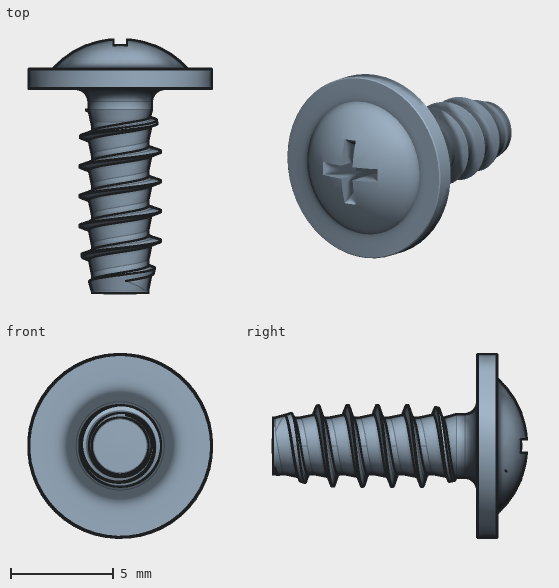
import cadquery as cq
import math


flange_radius = 4.5
flange_thickness = 1.0
flange_edge_chamfer = 0.05
body_overlap_height = flange_thickness / 2
dome_base_radius = 3.3
dome_height = 1.46
dome_sphere_radius = (dome_base_radius**2 + dome_height**2) / (2 * dome_height)
apex = flange_thickness + dome_height
dome_center = apex - dome_sphere_radius

recess_wing_width = 0.65
recess_mouth_radius = 1.6
recess_floor_radius = 0.75
recess_depth = 2.0

shank_length = 10.0
neck_radius = 1.56
neck_length = 1.0
neck_fillet = 0.6
core_radius = 1.39
core_start = 1.6
tip_cone_height = 0.025
tip_cone_radius = 1.31
tip_face = tip_cone_height - shank_length

pitch = 1.455
thread_radius = 2.0
crest_width = 0.04
head_flank_run = 0.25
head_flank_bend = 0.15
head_flank_bend_radius = 1.58
tip_flank_run = 0.19
shoulder_radius = 1.53
shoulder_run = 0.88
root_depth = 0.04
first_crest = 0.145
turns = 7
thread_start_radius = 1.68
full_thread_start = 2.5
full_thread_end = 7.75
thread_end_sink = 0.03


def revolve_about_y(profile):
    return profile.close().revolve(360, (0, 0, 0), (0, 1, 0))


def make_flange():
    flange = cq.Workplane("XZ").circle(flange_radius).extrude(-flange_thickness)
    return flange.edges().chamfer(flange_edge_chamfer)


def make_dome():
    half_angle = math.asin(dome_base_radius / dome_sphere_radius) / 2
    arc_middle = (
        dome_sphere_radius * math.sin(half_angle),
        dome_center + dome_sphere_radius * math.cos(half_angle),
    )
    profile = (
        cq.Workplane("XY")
        .moveTo(0, body_overlap_height)
        .lineTo(dome_base_radius, body_overlap_height)
        .lineTo(dome_base_radius, flange_thickness)
        .threePointArc(arc_middle, (0, apex))
    )
    return revolve_about_y(profile)


def make_recess():
    """Two crossed wings whose outer ends slope inward with depth."""
    mouth = dome_center + math.sqrt(dome_sphere_radius**2 - recess_mouth_radius**2)
    floor = apex - recess_depth
    wing = (
        cq.Workplane("XY")
        .moveTo(-recess_floor_radius, floor)
        .lineTo(recess_floor_radius, floor)
        .lineTo(recess_mouth_radius, mouth)
        .lineTo(recess_mouth_radius, apex)
        .lineTo(-recess_mouth_radius, apex)
        .lineTo(-recess_mouth_radius, mouth)
        .close()
        .extrude(recess_wing_width / 2, both=True)
    )
    return wing.union(wing.rotate((0, 0, 0), (0, 1, 0), 90))


def make_shank():
    """Filleted neck, taper down to the core, plain core and a very flat conical tip."""
    fillet_offset = neck_fillet * (1 - math.sqrt(0.5))
    profile = (
        cq.Workplane("XY")
        .moveTo(0, body_overlap_height)
        .lineTo(neck_radius + neck_fillet, body_overlap_height)
        .lineTo(neck_radius + neck_fillet, 0)
        .threePointArc((neck_radius + fillet_offset, -fillet_offset), (neck_radius, -neck_fillet))
        .lineTo(neck_radius, -neck_length)
        .lineTo(core_radius, -core_start)
        .lineTo(core_radius, tip_face)
        .lineTo(tip_cone_radius, tip_face)
        .lineTo(0, -shank_length)
    )
    return revolve_about_y(profile)


def make_thread_envelope():
    """Solid of revolution that lets the thread grow near the neck and fade toward the tip."""
    profile = (
        cq.Workplane("XY")
        .moveTo(0, -neck_length)
        .lineTo(thread_start_radius, -neck_length)
        .lineTo(thread_radius, -full_thread_start)
        .lineTo(thread_radius, -full_thread_end)
        .lineTo(core_radius - thread_end_sink, tip_face)
        .lineTo(0, tip_face)
    )
    return revolve_about_y(profile)


def make_thread():
    """Sharp thread with a tapered shoulder on its tip side, swept about Z and then laid along -Y."""
    head_flank_slope = (head_flank_run - head_flank_bend) / (head_flank_bend_radius - core_radius)
    shoulder_slope = (shoulder_run - tip_flank_run) / (shoulder_radius - core_radius)
    head_root_run = head_flank_run + head_flank_slope * root_depth
    shoulder_root_run = shoulder_run + shoulder_slope * root_depth
    root_radius = core_radius - root_depth
    section = (
        cq.Workplane("XZ")
        .moveTo(root_radius, -head_root_run)
        .lineTo(head_flank_bend_radius, -head_flank_bend)
        .lineTo(thread_radius, -crest_width / 2)
        .lineTo(thread_radius, crest_width / 2)
        .lineTo(shoulder_radius, tip_flank_run)
        .lineTo(root_radius, shoulder_root_run)
        .close()
    )
    helix = cq.Workplane(cq.Wire.makeHelix(pitch, turns * pitch, core_radius))
    thread = section.sweep(helix, isFrenet=True)
    thread = thread.rotate((0, 0, 0), (1, 0, 0), 90).translate((0, -first_crest, 0))
    return thread.intersect(make_thread_envelope())


head = make_flange().union(make_dome()).cut(make_recess())
screw = head.union(make_shank()).union(make_thread())
result = cq.Workplane(screw.solids().val())